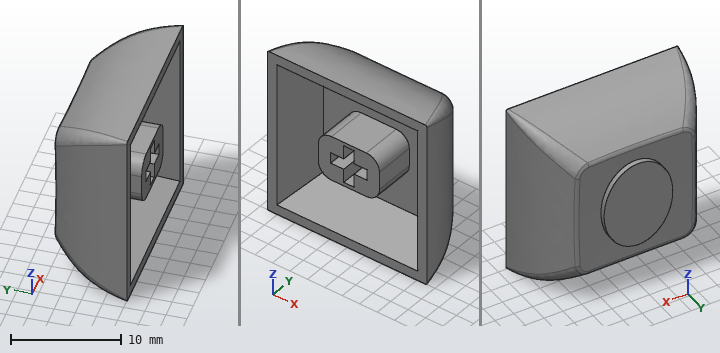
import cadquery as cq


BASE_WIDTH = 18.32
BASE_HEIGHT = 18.3
BASE_CORNER = 0.2
SHELL_SECTIONS = [
    (0.0, 0.0, BASE_CORNER),
    (2.82, 0.4, 0.8),
    (5.31, 1.32, 1.14),
    (7.79, 3.0, 1.34),
]

FACE_CORNER_DEPTH = 7.71
DISH_RADIUS = 146.56
FACE_CORNER_REACH = 7.88
TOP_EDGE_ROUNDING = 0.51

TOTAL_DEPTH = 8.12
PAD_WIDTH = 7.3
PAD_HEIGHT = 9.3

CAVITY_OPENING = 16.12
CAVITY_FLOOR = 12.68
CAVITY_DEPTH = 4.7

STEM_WIDTH = 7.0
STEM_HEIGHT = 5.0
STEM_CORNER = 1.5
STEM_RECESS = 0.25
CROSS_SPAN = 4.2
CROSS_ARM = 1.19
CROSS_DEPTH = 3.66


def plane_at(depth):
    """Sketch plane across the cap, with its normal toward +Y and its local x along +X."""
    return cq.Workplane(cq.Plane(origin=(0, depth, 0), xDir=(1, 0, 0), normal=(0, 1, 0)))


def rounded_section(depth, inset, corner):
    """Rounded rectangle across the cap at the given depth."""
    sketch = cq.Sketch().rect(BASE_WIDTH - 2 * inset, BASE_HEIGHT - 2 * inset)
    return sketch.vertices().fillet(corner).moved(plane_at(depth).plane.location)


def dish_ball():
    """Large ball that meets the touch face near its four corners and hollows its middle."""
    centre_offset = (DISH_RADIUS**2 - FACE_CORNER_REACH**2) ** 0.5
    return cq.Workplane().sphere(DISH_RADIUS).translate((0, FACE_CORNER_DEPTH + centre_offset, 0))


def shell():
    """Curved, tapering walls closed by the dished face with its rounded rim."""
    sections = [rounded_section(*section) for section in SHELL_SECTIONS]
    body = cq.Workplane().placeSketch(*sections).loft()
    body = body.cut(dish_ball())
    return body.faces(">Y").edges().fillet(TOP_EDGE_ROUNDING)


def cavity():
    """Straight-sided pyramid frustum hollowed from the rim."""
    return (
        plane_at(0)
        .rect(CAVITY_OPENING, CAVITY_OPENING)
        .workplane(offset=CAVITY_DEPTH)
        .rect(CAVITY_FLOOR, CAVITY_FLOOR)
        .loft()
    )


def stem():
    """Rounded post rising from the cavity floor, with a blind cross socket in its end."""
    post = (
        plane_at(STEM_RECESS)
        .rect(STEM_WIDTH, STEM_HEIGHT)
        .extrude(CAVITY_DEPTH - STEM_RECESS)
        .edges("|Y")
        .fillet(STEM_CORNER)
    )
    for width, height in [(CROSS_SPAN, CROSS_ARM), (CROSS_ARM, CROSS_SPAN)]:
        post = post.cut(plane_at(STEM_RECESS).rect(width, height).extrude(CROSS_DEPTH))
    return post


def pad():
    """Flat-topped oval that stands proud of the dished face."""
    return (
        plane_at(CAVITY_DEPTH)
        .ellipse(PAD_WIDTH / 2, PAD_HEIGHT / 2)
        .extrude(TOTAL_DEPTH - CAVITY_DEPTH)
    )


result = shell().union(pad()).cut(cavity()).union(stem())